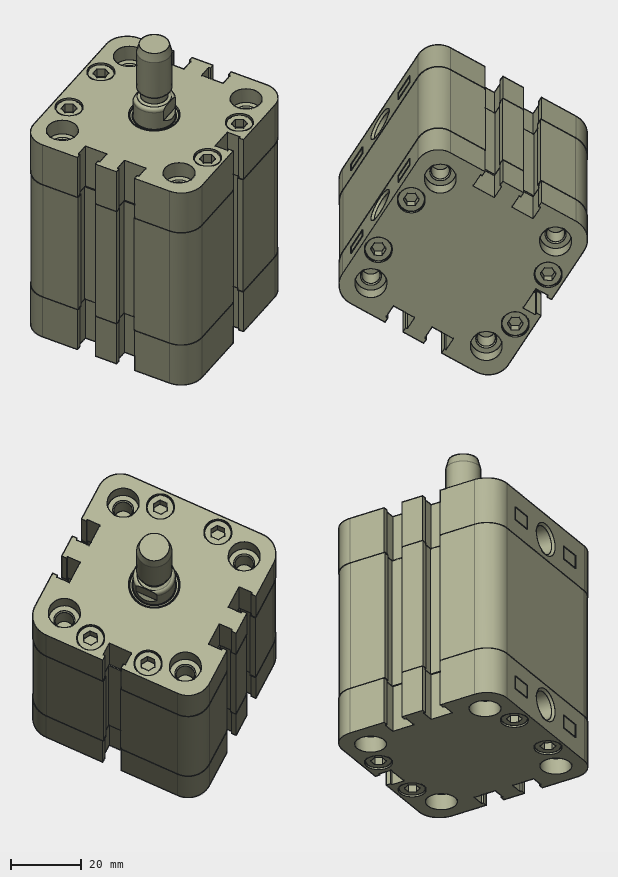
import cadquery as cq
import math

width = 54.8
total_height = 96.0
body_height = 70.2
cap_height = 14.6
barrel_height = body_height - 2 * cap_height
corner_radius = 6.7
barrel_inset = 0.1
half_width = width / 2

slot_width = 7.0
side_slot_inner = 2.9
side_mouth_inner = 3.5
cap_mouth_outer = 9.3
barrel_mouth_outer = 9.1
cap_end_mouth = 5.8
barrel_end_mouth = 5.4
cap_slot_depth = 5.6
barrel_slot_depth = 5.2
cap_lip = 1.5
barrel_lip = 1.8

mount_offset = 19.0
mount_bore_diameter = 9.0
mount_bore_depth = 5.0
mount_cone_diameter = 6.0
mount_hole_diameter = 5.2
mount_hole_depth = 11.5
mount_cone_depth = (mount_cone_diameter - mount_hole_diameter) / 2

screw_x = 22.6
screw_y = 9.0
screw_pocket_diameter = 7.9
screw_pocket_depth = 1.0
screw_head_diameter = 7.5
screw_head_sink = 0.5
socket_flats = 3.8
socket_depth = 2.9

port_level = 8.1
port_diameter = 8.5
port_mouth_diameter = 10.0
port_chamfer = (port_mouth_diameter - port_diameter) / 2
port_core_diameter = 40.0

label_offset = 13.0
label_level = 7.5
label_width = 6.3
label_height = 4.1
label_depth = 0.2

opening_diameter = 14.6
opening_step_diameter = 14.0
opening_cone_diameter = 13.7
opening_floor_diameter = 12.6
opening_floor_depth = 0.5
opening_step_depth = (opening_diameter - opening_step_diameter) / 2

rod_diameter = 12.0
thread_diameter = 10.0
neck_diameter = 7.9
tip_diameter = 8.5
root_rise = 0.4
shoulder_level = 76.9
shoulder_fillet = 1.2
neck_top_level = 79.3
tip_length = 2.8
flats_width = 10.0
flats_level = 72.5


def box_between(x_limits, y_limits, z_limits):
    """Box given by its lower and upper limit along each axis."""
    sizes = [limits[1] - limits[0] for limits in (x_limits, y_limits, z_limits)]
    corner = (x_limits[0], y_limits[0], z_limits[0])
    return cq.Workplane("XY").box(*sizes, centered=False).translate(corner)


def side_slot(mouth_outer, depth, lip, height):
    """T-slot in the +Y side, on the +X half."""
    z_limits = (0, height)
    cavity_x = (side_slot_inner, side_slot_inner + slot_width)
    cavity = box_between(cavity_x, (half_width - depth, half_width - lip), z_limits)
    mouth = box_between((side_mouth_inner, mouth_outer), (half_width - depth, half_width), z_limits)
    return cavity.union(mouth)


def end_slot(mouth_width, depth, lip, height):
    """T-slot in the middle of the +X side."""
    z_limits = (0, height)
    cavity_y = (-slot_width / 2, slot_width / 2)
    cavity = box_between((half_width - depth, half_width - lip), cavity_y, z_limits)
    mouth_y = (-mouth_width / 2, mouth_width / 2)
    mouth = box_between((half_width - depth, half_width), mouth_y, z_limits)
    return cavity.union(mouth)


def slotted_block(side, height, mouth_outer, end_mouth, slot_depth, lip):
    """Rounded square block standing on Z = 0 with four side slots and one end slot."""
    block = (
        cq.Workplane("XY")
        .rect(side, side)
        .extrude(height)
        .edges("|Z")
        .fillet(corner_radius)
    )
    back_right = side_slot(mouth_outer, slot_depth, lip, height)
    back_left = back_right.mirror("YZ")
    for slot in (back_right, back_left):
        block = block.cut(slot).cut(slot.mirror("XZ"))
    return block.cut(end_slot(end_mouth, slot_depth, lip, height))


def mounting_hole():
    """Counterbored corner hole going down from the outer cap face."""
    bore_radius = mount_bore_diameter / 2
    cone_radius = mount_cone_diameter / 2
    hole_radius = mount_hole_diameter / 2
    bore_floor = cap_height - mount_bore_depth
    cone_end = bore_floor - mount_cone_depth
    hole_floor = cap_height - mount_hole_depth
    return (
        cq.Workplane("XZ")
        .moveTo(0, cap_height)
        .lineTo(bore_radius, cap_height)
        .lineTo(bore_radius, bore_floor)
        .lineTo(cone_radius, bore_floor)
        .lineTo(hole_radius, cone_end)
        .lineTo(hole_radius, hole_floor)
        .lineTo(0, hole_floor)
        .close()
        .revolve(360, (0, 0, 0), (0, 1, 0))
    )


def screw_recess():
    """Space around a sunk screw head, with its hexagon socket."""
    pocket_floor = cap_height - screw_pocket_depth
    head_height = screw_pocket_depth - screw_head_sink
    pocket = (
        cq.Workplane("XY", origin=(0, 0, pocket_floor))
        .circle(screw_pocket_diameter / 2)
        .extrude(screw_pocket_depth)
    )
    head = (
        cq.Workplane("XY", origin=(0, 0, pocket_floor))
        .circle(screw_head_diameter / 2)
        .extrude(head_height)
    )
    socket_corners = socket_flats / math.cos(math.pi / 6)
    socket = (
        cq.Workplane("XY", origin=(0, 0, cap_height - screw_head_sink))
        .transformed(rotate=(0, 0, 90))
        .polygon(6, socket_corners)
        .extrude(-socket_depth)
    )
    return pocket.cut(head).union(socket)


def port():
    """Chamfered port in the -X side, ending on the coaxial core cylinder."""
    drill = (
        cq.Workplane("YZ", origin=(-half_width, 0, cap_height - port_level))
        .circle(port_diameter / 2)
        .extrude(half_width)
    )
    chamfer = cq.Workplane(
        cq.Solid.makeCone(
            port_mouth_diameter / 2,
            port_diameter / 2,
            port_chamfer,
            pnt=cq.Vector(-half_width, 0, cap_height - port_level),
            dir=cq.Vector(1, 0, 0),
        )
    )
    core = cq.Workplane("XY").circle(port_core_diameter / 2).extrude(cap_height)
    return drill.union(chamfer).cut(core)


def label_recesses():
    """Two shallow rectangles on the -X side, one on each side of the port."""
    return (
        cq.Workplane("YZ", origin=(-half_width, 0, cap_height - label_level))
        .pushPoints([(-label_offset, 0), (label_offset, 0)])
        .rect(label_width, label_height)
        .extrude(label_depth)
    )


def make_cap():
    """End cap with its outer face at the top and its barrel face on Z = 0."""
    cap = slotted_block(
        width, cap_height, cap_mouth_outer, cap_end_mouth, cap_slot_depth, cap_lip
    )
    for x_sign in (-1, 1):
        for y_sign in (-1, 1):
            mount_place = (x_sign * mount_offset, y_sign * mount_offset, 0)
            screw_place = (x_sign * screw_x, y_sign * screw_y, 0)
            cap = cap.cut(mounting_hole().translate(mount_place))
            cap = cap.cut(screw_recess().translate(screw_place))
    return cap.cut(port()).cut(label_recesses())


def rod_opening():
    """Stepped countersink around the rod and the rod's through hole."""
    step_level = cap_height - opening_step_depth
    floor_level = cap_height - opening_floor_depth
    return (
        cq.Workplane("XZ")
        .moveTo(0, cap_height)
        .lineTo(opening_diameter / 2, cap_height)
        .lineTo(opening_step_diameter / 2, step_level)
        .lineTo(opening_cone_diameter / 2, step_level)
        .lineTo(opening_floor_diameter / 2, floor_level)
        .lineTo(rod_diameter / 2, floor_level)
        .lineTo(rod_diameter / 2, 0)
        .lineTo(0, 0)
        .close()
        .revolve(360, (0, 0, 0), (0, 1, 0))
    )


def make_upper_cap():
    """Rod-side cap, on top of the barrel."""
    return make_cap().cut(rod_opening()).translate((0, 0, cap_height + barrel_height))


def make_lower_cap():
    """The same cap without a rod opening, turned over under the barrel."""
    return make_cap().rotate((0, 0, 0), (1, 0, 0), 180).translate((0, 0, cap_height))


def make_barrel():
    """Profiled barrel between the caps."""
    barrel = slotted_block(
        width - 2 * barrel_inset,
        barrel_height,
        barrel_mouth_outer,
        barrel_end_mouth,
        barrel_slot_depth,
        barrel_lip,
    )
    return barrel.translate((0, 0, cap_height))


def flat_cutter():
    """Cuts the wrench flat on the +X side, with a 45 degree run-out at its lower end."""
    flat_x = flats_width / 2
    outer_x = rod_diameter / 2
    run_out = outer_x - flat_x
    return (
        cq.Workplane("XZ")
        .moveTo(flat_x, shoulder_level)
        .lineTo(flat_x, flats_level)
        .lineTo(outer_x, flats_level - run_out)
        .lineTo(outer_x, shoulder_level)
        .close()
        .extrude(rod_diameter / 2, both=True)
    )


def make_rod():
    """Piston rod with wrench flats, undercut neck and male end."""
    rod_radius = rod_diameter / 2
    thread_radius = thread_diameter / 2
    neck_radius = neck_diameter / 2
    thread_level = neck_top_level + thread_radius - neck_radius
    fillet_inset = shoulder_fillet * (1 - math.sqrt(0.5))
    rod = (
        cq.Workplane("XZ")
        .moveTo(0, cap_height + barrel_height)
        .lineTo(rod_radius, cap_height + barrel_height)
        .lineTo(rod_radius, shoulder_level - shoulder_fillet)
        .threePointArc(
            (rod_radius - fillet_inset, shoulder_level - fillet_inset),
            (rod_radius - shoulder_fillet, shoulder_level),
        )
        .lineTo(neck_radius, shoulder_level + root_rise)
        .lineTo(neck_radius, neck_top_level)
        .lineTo(thread_radius, thread_level)
        .lineTo(thread_radius, total_height - tip_length)
        .lineTo(tip_diameter / 2, total_height)
        .lineTo(0, total_height)
        .close()
        .revolve(360, (0, 0, 0), (0, 1, 0))
    )
    flat = flat_cutter()
    return rod.cut(flat).cut(flat.mirror("YZ"))


upper_cap = make_upper_cap()
barrel = make_barrel()
lower_cap = make_lower_cap()
rod = make_rod()

result = cq.Compound.makeCompound([upper_cap.val(), barrel.val(), lower_cap.val(), rod.val()])